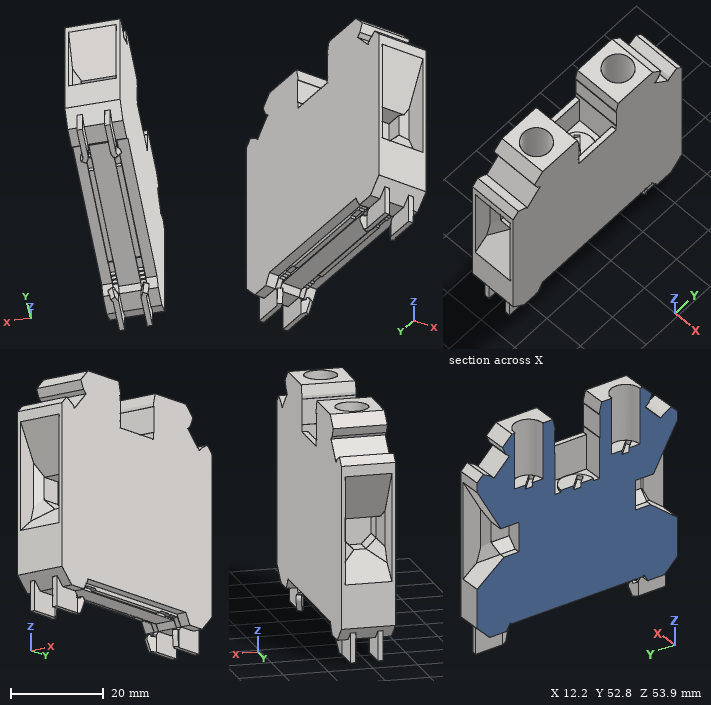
import cadquery as cq
import math

WIDTH = 12.15
LENGTH = 52.8
HEIGHT = 53.85
HALF_WIDTH = WIDTH / 2
HALF_LENGTH = LENGTH / 2

BODY_BOTTOM = 4.75
FOOT_INNER_Y = 18.6
FOOT_OUTER_Y = 23.0
LOWER_CHAMFER_TOP = BODY_BOTTOM + HALF_LENGTH - FOOT_OUTER_Y
SEAT_Z = 7.3
SEAT_HALF_LENGTH = 17.15
SHOULDER_Z = 44.7
SHOULDER_TIP = (24.75, 46.35)
SHOULDER_STEP = (22.65, 45.15)
NOTCH_BOTTOM = (21.95, 44.45)
NOTCH_TOP = (17.95, 48.5)
HEAD_STEP = (18.85, 49.3)
HEAD_CHAMFER = 2.55
HEAD_TOP_Y = 17.2
SLOT_HALF_LENGTH = 5.8
SLOT_FLOOR = 43.5
SLOT_LEAD_IN = 0.6
SLOT_LEAD_IN_DEPTH = 2.4
SLOT_RECESS_BOTTOM = 45.05
SLOT_RECESS_TOP = 50.8
SLOT_RECESS_DEPTH = 0.1

PLATE_INNER_X = 2.45
PLATE_THICKNESS = 1.2
PLATE_OUTER_X = PLATE_INNER_X + PLATE_THICKNESS
PLATE_HALF_LENGTH = 25.0
PLATE_TOP = 9.0
PLATE_LEG_INNER_Y = 17.9
PLATE_LEG_BEVEL_Z = 3.9
CORE_BOTTOM = 6.2
CORE_HALF_LENGTH = 17.55
PLATE_EDGE_Z = 6.4
RELIEF_Z = 6.8
RELIEF_INNER_Y = 11.3
RELIEF_BEVEL = 0.4
TOOTH_COUNT = 3
TOOTH_PITCH = 1.0
FIRST_TOOTH_Y = 14.7

TAB_TOP = 3.75
TAB_ANGLE = 30
TAB_LENGTH = 1.7
TAB_BOTTOM_LENGTH = 0.8
TAB_TAPER_TOP = 2.4
TAB_TIP_SETBACK = 0.05
TAB_CORNER = 0.5
TAB_NECK_LENGTH = 0.7
TAB_NECK_TOP = 3.4

SCREW_Y = 12.75
SCREW_HOLE_RADIUS = 3.65
SCREW_HOLE_DEPTH = 14.0
SCREW_SLOT_WIDTH = 1.2
SCREW_SLOT_DEPTH = 1.0
SCREW_SLOT_ANGLE = -45

POCKET_HALF_WIDTH = 4.8
POCKET_FLOOR = 34.85
CENTRE_HEAD_RADIUS = 4.3
CENTRE_HEAD_HEIGHT = 0.5
CENTRE_SLOT_LENGTH = 7.2
CENTRE_SLOT_WIDTH = 1.3

ENTRY_HALF_WIDTH = 5.2
ENTRY_BOTTOM = 18.05
ENTRY_TOP = 42.3
CHANNEL_HALF_WIDTH = 3.6
CHANNEL_BOTTOM = 23.7
CHANNEL_TOP = 31.0
CHANNEL_FLOOR_HALF_WIDTH = 1.35
CHANNEL_CORNER = CHANNEL_HALF_WIDTH - CHANNEL_FLOOR_HALF_WIDTH
CEILING_DEPTH = 6.3
LEFT_TAPER_START = 4.6
RIGHT_TAPER_START = 5.5
TAPER = ENTRY_HALF_WIDTH - CHANNEL_HALF_WIDTH
FUNNEL_DEPTH = RIGHT_TAPER_START + TAPER
CHANNEL_DEPTH = 11.0


def side_profile(points, x_start, x_end):
    """Solid with the given (y, z) outline between two X planes."""
    return cq.Workplane("YZ", origin=(x_start, 0, 0)).polyline(points).close().extrude(x_end - x_start)


def mirrored(half):
    """Close a +Y half outline, listed from one centre end to the other, with its mirror image."""
    return half + [(-y, z) for y, z in reversed(half)]


def housing():
    half = [
        (SLOT_HALF_LENGTH, SLOT_FLOOR),
        (SLOT_HALF_LENGTH, HEIGHT - SLOT_LEAD_IN_DEPTH),
        (SLOT_HALF_LENGTH + SLOT_LEAD_IN, HEIGHT),
        (HEAD_TOP_Y, HEIGHT),
        (HEAD_TOP_Y + HEAD_CHAMFER, HEIGHT - HEAD_CHAMFER),
        HEAD_STEP,
        NOTCH_TOP,
        NOTCH_BOTTOM,
        SHOULDER_STEP,
        SHOULDER_TIP,
        (HALF_LENGTH, SHOULDER_Z),
        (HALF_LENGTH, LOWER_CHAMFER_TOP),
        (FOOT_OUTER_Y, BODY_BOTTOM),
        (FOOT_INNER_Y, BODY_BOTTOM),
        (SEAT_HALF_LENGTH, SEAT_Z),
    ]
    return side_profile(mirrored(half), -HALF_WIDTH, HALF_WIDTH)


def slot_wall_recess():
    """Shallow full-width recess in both walls of the bridge slot."""
    return (
        cq.Workplane("XY", origin=(0, 0, SLOT_RECESS_BOTTOM))
        .rect(WIDTH, 2 * (SLOT_HALF_LENGTH + SLOT_RECESS_DEPTH))
        .extrude(SLOT_RECESS_TOP - SLOT_RECESS_BOTTOM)
    )


def plate_outline():
    """Outline of a contact plate: relieved centre edge, teeth, then the leg beside the rail."""
    half = [
        (RELIEF_INNER_Y, PLATE_EDGE_Z),
        (RELIEF_INNER_Y + RELIEF_BEVEL, RELIEF_Z),
        (FIRST_TOOTH_Y - TOOTH_PITCH / 2, RELIEF_Z),
    ]
    for index in range(TOOTH_COUNT):
        tip_y = FIRST_TOOTH_Y + index * TOOTH_PITCH
        half.append((tip_y, PLATE_EDGE_Z))
        half.append((tip_y + TOOTH_PITCH / 2, RELIEF_Z))
    half += [
        (FOOT_INNER_Y, BODY_BOTTOM),
        (PLATE_LEG_INNER_Y, PLATE_LEG_BEVEL_Z),
        (PLATE_LEG_INNER_Y, 0),
        (PLATE_HALF_LENGTH, 0),
        (PLATE_HALF_LENGTH, PLATE_TOP),
    ]
    return mirrored(half)


def bent_tab():
    """Tab on the +X, +Y leg, bent outward from the leg's inner edge and tapered toward its foot."""
    bend = math.radians(TAB_ANGLE)
    reach_x = TAB_LENGTH * math.sin(bend)
    reach_y = TAB_LENGTH * math.cos(bend)
    outer = cq.Vector(PLATE_OUTER_X, PLATE_LEG_INNER_Y)
    inner = cq.Vector(PLATE_INNER_X, PLATE_LEG_INNER_Y)
    tip_outer = outer + cq.Vector(reach_x, -reach_y)
    tip_inner = tip_outer - cq.Vector(math.cos(bend), math.sin(bend)) * PLATE_THICKNESS
    plan = cq.Workplane("XY").polyline([inner, outer, tip_outer, tip_inner]).close().extrude(TAB_TOP)

    root_y = PLATE_LEG_INNER_Y
    tip_y = root_y - TAB_LENGTH
    root_x = PLATE_INNER_X - PLATE_THICKNESS
    straight = (
        cq.Workplane("YZ", origin=(root_x, 0, 0))
        .moveTo(root_y + PLATE_THICKNESS, 0)
        .lineTo(root_y - TAB_BOTTOM_LENGTH, 0)
        .lineTo(tip_y + TAB_TIP_SETBACK, TAB_TAPER_TOP)
        .tangentArcPoint((tip_y + TAB_CORNER, TAB_TOP), relative=False)
        .lineTo(root_y - TAB_NECK_LENGTH, TAB_TOP)
        .lineTo(root_y - TAB_NECK_LENGTH, TAB_NECK_TOP)
        .lineTo(root_y + PLATE_THICKNESS, TAB_NECK_TOP)
        .close()
        .extrude(3 * PLATE_THICKNESS)
    )
    bend_top = (outer.x, outer.y, TAB_TOP)
    return plan.intersect(straight.rotate((outer.x, outer.y, 0), bend_top, TAB_ANGLE))


def rail_contact():
    plate = side_profile(plate_outline(), PLATE_INNER_X, PLATE_OUTER_X)
    tab = bent_tab()
    plate = plate.union(tab).union(tab.mirror("XZ"))
    core_length = 2 * CORE_HALF_LENGTH
    core_height = PLATE_TOP - CORE_BOTTOM
    core = (
        cq.Workplane("XY", origin=(0, 0, CORE_BOTTOM))
        .rect(2 * PLATE_INNER_X, core_length)
        .extrude(core_height)
    )
    return core.union(plate).union(plate.mirror("YZ"))


def screw_slot(y, floor_z, length, width):
    return (
        cq.Workplane("XY", origin=(0, y, floor_z - SCREW_SLOT_DEPTH))
        .transformed(rotate=(0, 0, SCREW_SLOT_ANGLE))
        .rect(length, width)
        .extrude(SCREW_SLOT_DEPTH)
    )


def screw_hole(y):
    """Round well down to a slotted screw head."""
    floor_z = HEIGHT - SCREW_HOLE_DEPTH
    well = cq.Workplane("XY", origin=(0, y, floor_z)).circle(SCREW_HOLE_RADIUS).extrude(SCREW_HOLE_DEPTH)
    return well.union(screw_slot(y, floor_z, 2 * SCREW_HOLE_RADIUS, SCREW_SLOT_WIDTH))


def centre_pocket():
    """Rectangular pocket below the bridge slot, leaving a slotted screw head on its floor."""
    pocket = (
        cq.Workplane("XY", origin=(0, 0, POCKET_FLOOR))
        .rect(2 * POCKET_HALF_WIDTH, 2 * SLOT_HALF_LENGTH)
        .extrude(SLOT_FLOOR - POCKET_FLOOR)
    )
    head = (
        cq.Workplane("XY", origin=(0, 0, POCKET_FLOOR))
        .circle(CENTRE_HEAD_RADIUS)
        .extrude(CENTRE_HEAD_HEIGHT)
    )
    head_top = POCKET_FLOOR + CENTRE_HEAD_HEIGHT
    return pocket.cut(head).union(screw_slot(0, head_top, CENTRE_SLOT_LENGTH, CENTRE_SLOT_WIDTH))


def corner_plane_cut(side, taper_start, face_y):
    """Everything below the slanted face that leads into one lower corner of the channel."""
    channel_y = face_y + taper_start + TAPER
    corner = cq.Vector(side * CHANNEL_HALF_WIDTH, channel_y, CHANNEL_BOTTOM + CHANNEL_CORNER)
    floor_corner = cq.Vector(side * CHANNEL_FLOOR_HALF_WIDTH, face_y + FUNNEL_DEPTH, CHANNEL_BOTTOM)
    wall_point = cq.Vector(side * ENTRY_HALF_WIDTH, face_y + taper_start, corner.z - TAPER)
    normal = (floor_corner - corner).cross(wall_point - corner)
    if normal.z > 0:
        normal = normal * -1
    plane = cq.Plane(origin=corner.toTuple(), normal=normal.toTuple())
    return cq.Workplane(plane).rect(2 * LENGTH, 2 * LENGTH).extrude(LENGTH)


def wire_entry():
    """Funnel in the -Y face narrowing to a channel with bevelled lower corners."""
    face_y = -HALF_LENGTH
    plan = (
        cq.Workplane("XY", origin=(0, 0, ENTRY_BOTTOM))
        .polyline([
            (-ENTRY_HALF_WIDTH, face_y),
            (ENTRY_HALF_WIDTH, face_y),
            (ENTRY_HALF_WIDTH, face_y + RIGHT_TAPER_START),
            (CHANNEL_HALF_WIDTH, face_y + FUNNEL_DEPTH),
            (-CHANNEL_HALF_WIDTH, face_y + FUNNEL_DEPTH),
            (-CHANNEL_HALF_WIDTH, face_y + LEFT_TAPER_START + TAPER),
            (-ENTRY_HALF_WIDTH, face_y + LEFT_TAPER_START),
        ])
        .close()
        .extrude(ENTRY_TOP - ENTRY_BOTTOM)
    )
    elevation = [
        (face_y, ENTRY_BOTTOM),
        (face_y + FUNNEL_DEPTH, CHANNEL_BOTTOM),
        (face_y + FUNNEL_DEPTH, CHANNEL_TOP),
        (face_y + CEILING_DEPTH, CHANNEL_TOP),
        (face_y, ENTRY_TOP),
    ]
    funnel = plan.intersect(side_profile(elevation, -HALF_WIDTH, HALF_WIDTH))
    for side, taper_start in ((-1, LEFT_TAPER_START), (1, RIGHT_TAPER_START)):
        funnel = funnel.cut(corner_plane_cut(side, taper_start, face_y))
    channel = (
        cq.Workplane("XZ", origin=(0, face_y + CEILING_DEPTH, 0))
        .polyline([
            (-CHANNEL_FLOOR_HALF_WIDTH, CHANNEL_BOTTOM),
            (CHANNEL_FLOOR_HALF_WIDTH, CHANNEL_BOTTOM),
            (CHANNEL_HALF_WIDTH, CHANNEL_BOTTOM + CHANNEL_CORNER),
            (CHANNEL_HALF_WIDTH, CHANNEL_TOP),
            (-CHANNEL_HALF_WIDTH, CHANNEL_TOP),
            (-CHANNEL_HALF_WIDTH, CHANNEL_BOTTOM + CHANNEL_CORNER),
        ])
        .close()
        .extrude(CEILING_DEPTH - CHANNEL_DEPTH)
    )
    return funnel.union(channel)


def build():
    body = housing().union(rail_contact())
    body = body.cut(slot_wall_recess()).cut(centre_pocket())
    entry = wire_entry()
    body = body.cut(entry).cut(entry.rotate((0, 0, 0), (0, 0, 1), 180))
    for y in (-SCREW_Y, SCREW_Y):
        body = body.cut(screw_hole(y))
    return body


result = build()